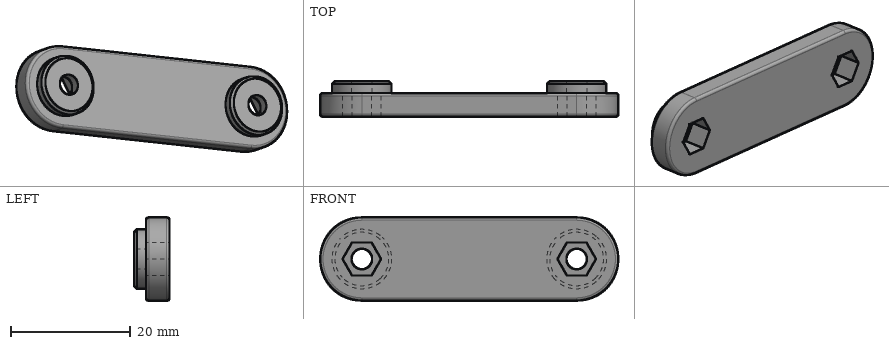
import cadquery as cq
import math

hole_spacing = 36.0
plate_height = 14.0
plate_thickness = 4.0
plate_length = hole_spacing + plate_height
edge_fillet = 0.5

boss_diameter = 10.0
boss_height = 2.0
boss_chamfer = 0.5

hole_diameter = 3.4
nut_across_flats = 5.6
nut_across_corners = nut_across_flats / math.cos(math.pi / 6)
nut_pocket_depth = plate_thickness

total_thickness = plate_thickness + boss_height
hole_centres = [(-hole_spacing / 2, 0), (hole_spacing / 2, 0)]


def plane_at(y):
    """XZ sketch plane at depth y whose extrusions run toward +Y (local x is -X)."""
    return cq.Workplane(cq.Plane(origin=(0, y, 0), xDir=(-1, 0, 0), normal=(0, 1, 0)))


def make_plate():
    plate = plane_at(0).slot2D(plate_length, plate_height).extrude(plate_thickness)
    return plate.faces("<Y or >Y").edges().fillet(edge_fillet)


def make_bosses():
    bosses = plane_at(plate_thickness).pushPoints(hole_centres).circle(boss_diameter / 2).extrude(boss_height)
    return bosses.faces(">Y").edges().chamfer(boss_chamfer)


def make_holes():
    return plane_at(0).pushPoints(hole_centres).circle(hole_diameter / 2).extrude(total_thickness)


def make_nut_pockets():
    return plane_at(0).pushPoints(hole_centres).polygon(6, nut_across_corners).extrude(nut_pocket_depth)


result = make_plate().union(make_bosses()).cut(make_holes()).cut(make_nut_pockets())